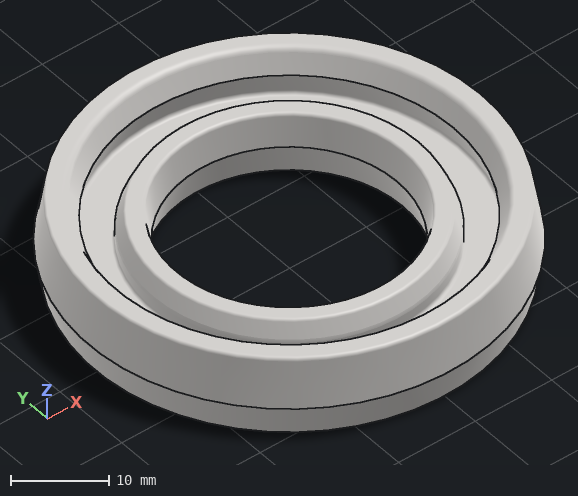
import cadquery as cq
import math

height = 10.0
crest_height = 4.0
outer_crest_radius = 26.0
bore_crest_radius = 14.0
wall_taper = 10.0

groove_floor_height = 4.0
lip_taper = 25.0
outer_pinch_radius = 21.35
outer_pinch_height = 7.2
undercut_taper = 16.0

inner_lip_height = 8.0
inner_wall_radius = 17.75
inner_bend_height = 5.8

edge_fillet = 0.5
large_fillet = 1.0


def run(rise, taper):
    """Radial change of a wall that leans by taper degrees over the given rise."""
    return rise * math.tan(math.radians(taper))


outer_base = (outer_crest_radius - run(crest_height, wall_taper), 0)
outer_crest = (outer_crest_radius, crest_height)
rim_outer_top = (outer_crest_radius - run(height - crest_height, wall_taper), height)
rim_inner_top = (outer_pinch_radius + run(height - outer_pinch_height, lip_taper), height)
outer_pinch = (outer_pinch_radius, outer_pinch_height)
groove_outer_corner = (
    outer_pinch_radius + run(outer_pinch_height - groove_floor_height, undercut_taper),
    groove_floor_height,
)
groove_inner_corner = (inner_wall_radius, groove_floor_height)
inner_bend = (inner_wall_radius, inner_bend_height)
lip_outer_top = (
    inner_wall_radius - run(inner_lip_height - inner_bend_height, lip_taper),
    inner_lip_height,
)
lip_inner_top = (
    bore_crest_radius + run(inner_lip_height - crest_height, wall_taper),
    inner_lip_height,
)
bore_crest = (bore_crest_radius, crest_height)
bore_base = (bore_crest_radius + run(crest_height, wall_taper), 0)


def make_ring():
    """Ring with sharp edges, revolved from its half section."""
    section = [
        outer_base, outer_crest, rim_outer_top, rim_inner_top, outer_pinch, groove_outer_corner,
        groove_inner_corner, inner_bend, lip_outer_top, lip_inner_top, bore_crest, bore_base,
    ]
    return cq.Workplane("XZ").polyline(section).close().revolve(360, (0, 0, 0), (0, 1, 0))


def round_corners(ring, corners, fillet_radius):
    """Fillet the circular edges that pass through the given section corners."""
    tolerance = 1e-4

    def is_at_corner(edge):
        if edge.geomType() != "CIRCLE":
            return False
        place = (edge.radius(), edge.Center().z)
        return any(math.dist(place, corner) < tolerance for corner in corners)

    return ring.edges().filter(is_at_corner).fillet(fillet_radius)


sharp_ring = make_ring()
large_fillet_corners = [rim_inner_top, inner_bend]
small_fillet_corners = [
    outer_base, rim_outer_top, groove_outer_corner, groove_inner_corner,
    lip_outer_top, lip_inner_top, bore_base,
]
partly_rounded_ring = round_corners(sharp_ring, large_fillet_corners, large_fillet)
result = round_corners(partly_rounded_ring, small_fillet_corners, edge_fillet)